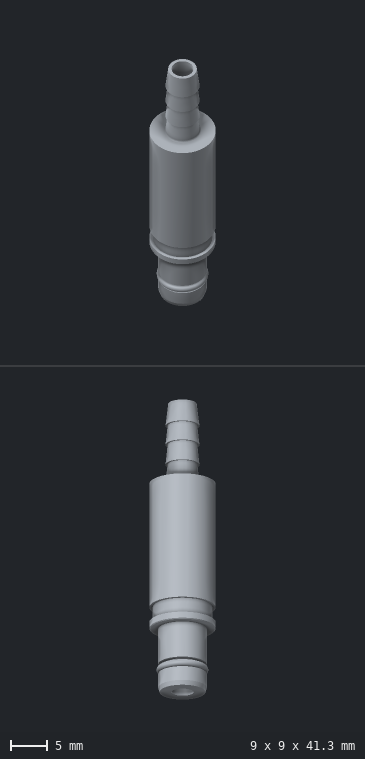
import cadquery as cq

total_height = 41.3
bore_radius = 1.5

plug_radius = 3.3
plug_end_radius = 3.1
plug_chamfer_height = 0.6
gland_bottom = 2.6
gland_top = 3.95
gland_radius = 2.55
ring_section_radius = 0.5
ring_outer_radius = 3.5
ring_height = 3.2

body_radius = 4.5
flange_bottom = 9.0
flange_top = 10.0
flange_chamfer = 0.12
groove_top = 12.15
groove_radius = 4.05
body_top = 29.8

barb_edges = [32.6, 35.45, 38.15]
barb_radius = 2.3
valley_radius = 2.02
tip_radius = 1.95
neck_radius = 2.3
root_fillet_radius = 2.8
root_fillet_height = 0.37


def make_plug_and_body():
    """Revolve the plug, its O-ring gland, the flange and the main body."""
    profile = [
        (bore_radius, 0),
        (plug_end_radius, 0),
        (plug_radius, plug_chamfer_height),
        (plug_radius, gland_bottom),
        (gland_radius, gland_bottom),
        (gland_radius, gland_top),
        (plug_radius, gland_top),
        (plug_radius, flange_bottom),
        (body_radius - flange_chamfer, flange_bottom),
        (body_radius, flange_bottom + flange_chamfer),
        (body_radius, flange_top),
        (groove_radius, flange_top),
        (groove_radius, groove_top),
        (body_radius, groove_top),
        (body_radius, body_top),
        (bore_radius, body_top),
    ]
    return cq.Workplane("XZ").polyline(profile).close().revolve(360, (0, 0), (0, 1))


def make_hose_tail():
    """Revolve the barbed tail with its curved root on top of the body."""
    profile = (
        cq.Workplane("XZ")
        .moveTo(bore_radius, body_top)
        .lineTo(root_fillet_radius, body_top)
        .spline(
            [(neck_radius, body_top + root_fillet_height)],
            tangents=[(-1, 0), (0, 1)],
            includeCurrent=True,
        )
    )
    for edge in barb_edges:
        profile = profile.lineTo(valley_radius, edge).lineTo(barb_radius, edge)
    profile = profile.lineTo(tip_radius, total_height).lineTo(bore_radius, total_height)
    return profile.close().revolve(360, (0, 0), (0, 1))


def make_ring():
    """Revolve the round O-ring section, which is seated in the gland."""
    section_center = ring_outer_radius - ring_section_radius
    return (
        cq.Workplane("XZ")
        .center(section_center, ring_height)
        .circle(ring_section_radius)
        .revolve(360, (-section_center, 0), (-section_center, 1))
    )


result = make_plug_and_body().union(make_hose_tail()).union(make_ring())